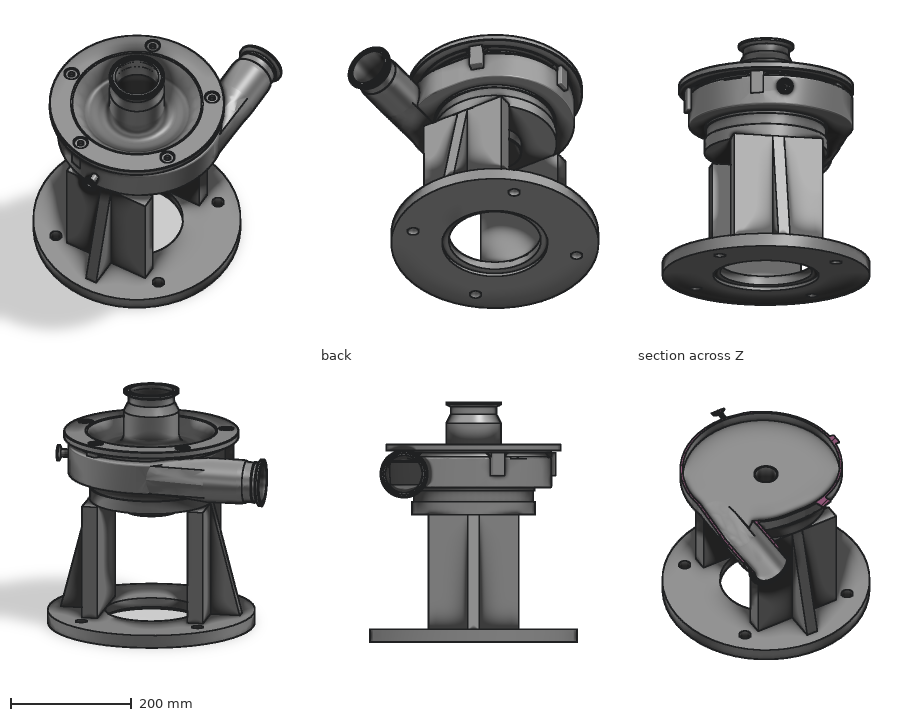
import cadquery as cq
import math

BASE_DIAMETER = 343.0
BASE_R = BASE_DIAMETER / 2
BASE_T = 21.5
BASE_OPENING_R = 76.0
BASE_RECESS_R = 87.2
BASE_RECESS_DEPTH = 6.5
ANCHOR_COUNT = 4
ANCHOR_CIRCLE_R = 138.8
ANCHOR_HOLE_R = 9.5
LEG_WIDTH = 150.0
LEG_INNER_Y = 76.0
MOUNT_R = 102.0
LEG_TOP_Z = 211.0
GUSSET_T = 19.5
GUSSET_TOE_Y = 151.0
MOUNT_TOP_Z = 232.0

STUB_R = 44.0
STUB_BOTTOM_Z = 191.0
STUB_CHAMFER = 1.5
ADAPTER_R = 99
ADAPTER_LIP_R = 101.0
ADAPTER_LIP_Z = 250.5
SHAFT_BORE_R = 18.2
SHAFT_MOUTH_STEP = 1.0

CASING_BOTTOM_Z = 255.5
CASING_TOP_Z = 306.0
CASING_FILLET = 3.0
SPIRAL_START_R = 125.0
SPIRAL_STEP = 8.0
CASING_WALL = 4.8
NECK_BOTTOM_R = 124.5
NECK_TOP_R = 120.5
SEAT_R = 129.0
SEAT_BOTTOM_Z = 313.2

LID_R = 144.7
LID_BOTTOM_Z = 316.0
LID_TOP_Z = 327.0
LID_EDGE_CHAMFER = 1.0
DISH_RIM_OUTER_R = 109.5
DISH_CONE_TOP_R = 106.5
DISH_RIM_DROP = 1.0
DISH_CONE_BOTTOM_R = 87.0
DISH_FLOOR_OUTER_R = 76.5
DISH_FLOOR_Z = 302.0
DISH_INNER_FILLET = 20.0

BOLT_COUNT = 5
BOLT_CIRCLE_R = 125.0
BOLT_RECESS_R = 12.3
BOLT_SEAT_R = 10.7
BOLT_RECESS_DEPTH = 2.0
BOLT_HOLE_R = 5.0
BOLT_HOLE_DEPTH = 6.0
BOLT_TIP_DEPTH = 3.0
LUG_WIDTH = 22.0
LUG_INNER_R = 113.0
LUG_OUTER_R = 136.0
LUG_BOTTOM_Z = 274.8
LUG_FILLET = 2.5
LUG_FLARE_WIDTH = 35.5

INLET_TOP_Z = 396.5
INLET_PIPE_R = 45.5
INLET_NECK_R = 38.0
INLET_BORE_R = 36.0
INLET_LOWER_BORE_R = 41.5
INLET_STEP_Z = 357.5
INLET_CONE_BOTTOM_Z = 361.5
INLET_CONE_TOP_Z = 376.5

OUTLET_X = 115
OUTLET_Z = 278.0
TOTAL_LENGTH_Y = 382.5
OUTLET_END_Y = TOTAL_LENGTH_Y - BASE_R
OUTLET_FLANGE_R = 39.3
OUTLET_NECK_R = 33.5
OUTLET_PIPE_R = 36.5
OUTLET_BORE_R = 31.0
OUTLET_BEAD_R = 34.0
OUTLET_BEAD_Y = 198.0
OUTLET_BEAD_WIDTH = 2.0
OUTLET_SWELL_START_Y = 192.7
OUTLET_SWELL_END_Y = 173.5
OUTLET_STEP_Y = 182.8
OUTLET_STEP_INNER_R = 34.5
OUTLET_STEP_OUTER_R = 35.3
OUTLET_SWELL_TANGENT = (-1, 2)
OUTLET_NECK_TANGENT = (0, 1)
OUTLET_PIPE_START_Y = 117.8
THROAT_INNER_X = 86.5
THROAT_OUTER_X = 142.0
THROAT_EDGE_INSET = 1.5

DRAIN_Z = 281.0
DRAIN_PIPE_R = 6.7
DRAIN_FLANGE_R = 13.0
DRAIN_BORE_R = 5.0
DRAIN_END_Y = -158.0
DRAIN_RIM_T = 2.8
DRAIN_TAPER_T = 3.0
DRAIN_GROOVE_OUTER_R = 10.7
DRAIN_GROOVE_INNER_R = 8.5

FLANGE_RIM_T = 3.5
FLANGE_TAPER_T = 4.0
FLANGE_GROOVE_INSET = 2.5
FLANGE_GROOVE_WIDTH = 2.8
FLANGE_GROOVE_DEPTH = 1.0

CHAMBER_BOTTOM_Z = CASING_BOTTOM_Z + CASING_WALL
CHAMBER_TOP_Z = DISH_FLOOR_Z - CASING_WALL


def cylinder(radius, bottom, top):
    return cq.Workplane("XY").workplane(offset=bottom).circle(radius).extrude(top - bottom)


def revolve_z(profile):
    """Revolve a closed (radius, z) outline about the Z axis."""
    return profile.close().revolve(360, (0, 0, 0), (0, 1, 0))


def make_stand():
    stand = cylinder(BASE_R, 0, BASE_T).cut(cylinder(BASE_OPENING_R, 0, BASE_T))
    stand = stand.cut(cylinder(BASE_RECESS_R, 0, BASE_RECESS_DEPTH))
    anchors = (
        cq.Workplane("XY")
        .polarArray(ANCHOR_CIRCLE_R, 180 / ANCHOR_COUNT, 360, ANCHOR_COUNT)
        .circle(ANCHOR_HOLE_R)
        .extrude(BASE_T)
    )
    stand = stand.cut(anchors).union(cylinder(MOUNT_R, LEG_TOP_Z, MOUNT_TOP_Z))
    leg_thickness = MOUNT_R - LEG_INNER_Y
    for side in (1, -1):
        leg = (
            cq.Workplane("XY")
            .workplane(offset=BASE_T)
            .center(0, side * (LEG_INNER_Y + leg_thickness / 2))
            .rect(LEG_WIDTH, leg_thickness)
            .extrude(LEG_TOP_Z - BASE_T)
        )
        gusset = (
            cq.Workplane("YZ")
            .moveTo(side * MOUNT_R, BASE_T)
            .lineTo(side * GUSSET_TOE_Y, BASE_T)
            .lineTo(side * MOUNT_R, LEG_TOP_Z)
            .close()
            .extrude(GUSSET_T / 2, both=True)
        )
        stand = stand.union(leg).union(gusset)
    return stand


def make_shaft_housing():
    stub = cylinder(STUB_R, STUB_BOTTOM_Z, LEG_TOP_Z).faces("<Z").chamfer(STUB_CHAMFER)
    adapter = cylinder(ADAPTER_R, MOUNT_TOP_Z, ADAPTER_LIP_Z)
    lip = cylinder(ADAPTER_LIP_R, ADAPTER_LIP_Z, CASING_BOTTOM_Z)
    return stub.union(adapter).union(lip)


def spiral_prism(inset, bottom, top):
    """Four-centre volute: the wall widens from +Y, through -X and -Y, to +X, then closes tangentially."""
    half = SPIRAL_STEP / 2
    first_r = SPIRAL_START_R - inset
    centres = ((-half, -half), (half, -half), (half, half))
    outline = cq.Workplane("XY").workplane(offset=bottom).moveTo(-half, first_r - half)
    for quarter, (x, y) in enumerate(centres):
        radius = first_r + quarter * SPIRAL_STEP
        start = math.pi / 2 * (1 + quarter)
        middle = start + math.pi / 4
        end = start + math.pi / 2
        outline = outline.threePointArc(
            (x + radius * math.cos(middle), y + radius * math.sin(middle)),
            (x + radius * math.cos(end), y + radius * math.sin(end)),
        )
    closing_r = first_r - SPIRAL_STEP
    closing_x = half + 3 * SPIRAL_STEP
    reach = closing_r * math.sqrt(0.5)
    return (
        outline.threePointArc((closing_x + reach, half + reach), (closing_x, half + closing_r))
        .close()
        .extrude(top - bottom)
    )


def make_casing():
    casing = spiral_prism(0, CASING_BOTTOM_Z, CASING_TOP_Z)
    casing = casing.faces("<Z or >Z").edges().fillet(CASING_FILLET)
    neck = revolve_z(
        cq.Workplane("XZ")
        .moveTo(0, CASING_TOP_Z)
        .lineTo(NECK_BOTTOM_R, CASING_TOP_Z)
        .lineTo(NECK_TOP_R, SEAT_BOTTOM_Z)
        .lineTo(0, SEAT_BOTTOM_Z)
    )
    return casing.union(neck).union(cylinder(SEAT_R, SEAT_BOTTOM_Z, LID_BOTTOM_Z))


def make_lugs():
    """Blocks below the lid bolts, each widening just under the lid seat."""
    length = LUG_OUTER_R - LUG_INNER_R
    lug = (
        cq.Workplane("XY")
        .workplane(offset=LUG_BOTTOM_Z)
        .center((LUG_OUTER_R + LUG_INNER_R) / 2, 0)
        .rect(length, LUG_WIDTH)
        .extrude(SEAT_BOTTOM_Z - LUG_BOTTOM_Z)
        .edges("(>X and |Z) or <Z")
        .fillet(LUG_FILLET)
    )
    flare = (
        cq.Workplane("YZ", origin=(LUG_INNER_R, 0, 0))
        .moveTo(-LUG_WIDTH / 2, CASING_TOP_Z)
        .lineTo(LUG_WIDTH / 2, CASING_TOP_Z)
        .lineTo(LUG_FLARE_WIDTH / 2, SEAT_BOTTOM_Z)
        .lineTo(-LUG_FLARE_WIDTH / 2, SEAT_BOTTOM_Z)
        .close()
        .extrude(SEAT_R - LUG_INNER_R)
    )
    lug = lug.union(flare)
    lugs = cq.Workplane("XY")
    for index in range(BOLT_COUNT):
        lugs = lugs.union(lug.rotate((0, 0, 0), (0, 0, 1), 180 + index * 360 / BOLT_COUNT))
    return lugs


def make_lid():
    """Plain disc with its rim chamfered top and bottom."""
    return cylinder(LID_R, LID_BOTTOM_Z, LID_TOP_Z).edges().chamfer(LID_EDGE_CHAMFER)


def make_dish():
    """Ring-shaped hollow around the inlet: 45-degree cone, flat floor, fillet up to the pipe."""
    fillet_width = DISH_CONE_BOTTOM_R - DISH_FLOOR_OUTER_R
    outer_fillet = fillet_width / math.sin(math.pi / 4)
    half_bend = math.pi / 8
    cone_bottom_z = DISH_FLOOR_Z + outer_fillet * (1 - math.cos(math.pi / 4))
    outer_mid = (
        DISH_FLOOR_OUTER_R + outer_fillet * math.sin(half_bend),
        DISH_FLOOR_Z + outer_fillet * (1 - math.cos(half_bend)),
    )
    inner_sag = DISH_INNER_FILLET * (1 - math.sqrt(0.5))
    return revolve_z(
        cq.Workplane("XZ")
        .moveTo(INLET_PIPE_R, LID_TOP_Z)
        .lineTo(DISH_RIM_OUTER_R, LID_TOP_Z)
        .lineTo(DISH_CONE_TOP_R, LID_TOP_Z - DISH_RIM_DROP)
        .lineTo(DISH_CONE_BOTTOM_R, cone_bottom_z)
        .threePointArc(outer_mid, (DISH_FLOOR_OUTER_R, DISH_FLOOR_Z))
        .lineTo(INLET_PIPE_R + DISH_INNER_FILLET, DISH_FLOOR_Z)
        .threePointArc(
            (INLET_PIPE_R + inner_sag, DISH_FLOOR_Z + inner_sag),
            (INLET_PIPE_R, DISH_FLOOR_Z + DISH_INNER_FILLET),
        )
    )


def make_bolt_recesses():
    """Tapered recesses with a drilled centre, spread over the bolt circle."""
    seat_z = LID_TOP_Z - BOLT_RECESS_DEPTH
    hole_z = seat_z - BOLT_HOLE_DEPTH
    recess = revolve_z(
        cq.Workplane("XZ")
        .moveTo(0, LID_TOP_Z)
        .lineTo(BOLT_RECESS_R, LID_TOP_Z)
        .lineTo(BOLT_SEAT_R, seat_z)
        .lineTo(BOLT_HOLE_R, seat_z)
        .lineTo(BOLT_HOLE_R, hole_z)
        .lineTo(0, hole_z - BOLT_TIP_DEPTH)
    ).translate((-BOLT_CIRCLE_R, 0, 0))
    recesses = cq.Workplane("XY")
    for index in range(BOLT_COUNT):
        recesses = recesses.union(recess.rotate((0, 0, 0), (0, 0, 1), index * 360 / BOLT_COUNT))
    return recesses


def flange_groove(flange_r, end):
    """Gasket groove in the face of a clamp flange that ends at height `end` on the Z axis."""
    outer = flange_r - FLANGE_GROOVE_INSET
    bottom = end - FLANGE_GROOVE_DEPTH
    return cylinder(outer, bottom, end).cut(cylinder(outer - FLANGE_GROOVE_WIDTH, bottom, end))


def make_inlet():
    rim_z = INLET_TOP_Z - FLANGE_RIM_T
    pipe = revolve_z(
        cq.Workplane("XZ")
        .moveTo(0, CHAMBER_TOP_Z)
        .lineTo(INLET_PIPE_R, CHAMBER_TOP_Z)
        .lineTo(INLET_PIPE_R, INLET_CONE_BOTTOM_Z)
        .lineTo(INLET_NECK_R, INLET_CONE_TOP_Z)
        .lineTo(INLET_NECK_R, rim_z - FLANGE_TAPER_T)
        .lineTo(INLET_PIPE_R, rim_z)
        .lineTo(INLET_PIPE_R, INLET_TOP_Z)
        .lineTo(0, INLET_TOP_Z)
    )
    return pipe.cut(flange_groove(INLET_PIPE_R, INLET_TOP_Z))


def place_on_outlet_axis(shape):
    """Turn a shape built along +Z so that it lies along +Y on the outlet axis."""
    return shape.rotate((0, 0, 0), (1, 0, 0), -90).translate((OUTLET_X, 0, OUTLET_Z))


def make_outlet_pipe():
    rim_y = OUTLET_END_Y - FLANGE_RIM_T
    bead_half = OUTLET_BEAD_WIDTH / 2
    swell_start = (OUTLET_NECK_R, OUTLET_SWELL_START_Y)
    swell_tangents = [OUTLET_SWELL_TANGENT, OUTLET_NECK_TANGENT]
    swell_end = (OUTLET_PIPE_R, OUTLET_SWELL_END_Y)
    pipe = revolve_z(
        cq.Workplane("XZ")
        .moveTo(0, OUTLET_PIPE_START_Y)
        .lineTo(OUTLET_PIPE_R, OUTLET_PIPE_START_Y)
        .lineTo(*swell_end)
        .tangentArcPoint((OUTLET_STEP_OUTER_R, OUTLET_STEP_Y), relative=False)
        .lineTo(OUTLET_STEP_INNER_R, OUTLET_STEP_Y)
        .spline([swell_start], tangents=swell_tangents, includeCurrent=True)
        .lineTo(OUTLET_NECK_R, rim_y - FLANGE_TAPER_T)
        .lineTo(OUTLET_FLANGE_R, rim_y)
        .lineTo(OUTLET_FLANGE_R, OUTLET_END_Y)
        .lineTo(0, OUTLET_END_Y)
    )
    bead = cylinder(OUTLET_BEAD_R, OUTLET_BEAD_Y - bead_half, OUTLET_BEAD_Y + bead_half)
    return place_on_outlet_axis(pipe.union(bead).cut(flange_groove(OUTLET_FLANGE_R, OUTLET_END_Y)))


def make_throat(pipe_r, inset):
    """Transition from the rectangular casing section at Y = 0 to the round outlet pipe."""
    width = THROAT_OUTER_X - THROAT_INNER_X - 2 * inset
    height = CASING_TOP_Z - CASING_BOTTOM_Z - 2 * (THROAT_EDGE_INSET + inset)
    shift_x = (THROAT_OUTER_X + THROAT_INNER_X) / 2 - OUTLET_X
    shift_z = (CASING_TOP_Z + CASING_BOTTOM_Z) / 2 - OUTLET_Z
    throat = (
        cq.Workplane("XY")
        .center(shift_x, -shift_z)
        .rect(width, height)
        .workplane(offset=OUTLET_PIPE_START_Y)
        .center(-shift_x, shift_z)
        .circle(pipe_r)
        .loft(ruled=True)
    )
    return place_on_outlet_axis(throat)


def make_drain():
    """Small flanged pipe pointing along -Y, with a gasket groove in its end face."""
    rim_y = DRAIN_END_Y + DRAIN_RIM_T
    neck_y = rim_y + DRAIN_TAPER_T
    drain = (
        cq.Workplane("XY")
        .moveTo(0, -SPIRAL_START_R)
        .lineTo(DRAIN_PIPE_R, -SPIRAL_START_R)
        .lineTo(DRAIN_PIPE_R, neck_y)
        .lineTo(DRAIN_FLANGE_R, rim_y)
        .lineTo(DRAIN_FLANGE_R, DRAIN_END_Y)
        .lineTo(DRAIN_GROOVE_OUTER_R, DRAIN_END_Y)
        .lineTo(DRAIN_GROOVE_OUTER_R, DRAIN_END_Y + FLANGE_GROOVE_DEPTH)
        .lineTo(DRAIN_GROOVE_INNER_R, DRAIN_END_Y + FLANGE_GROOVE_DEPTH)
        .lineTo(DRAIN_GROOVE_INNER_R, DRAIN_END_Y)
        .lineTo(0, DRAIN_END_Y)
        .close()
        .revolve(360, (0, 0, 0), (0, 1, 0))
    )
    return drain.translate((0, 0, DRAIN_Z))


def make_passages():
    """All flow passages and the shaft bore, to be cut from the joined body."""
    chamber = spiral_prism(CASING_WALL, CHAMBER_BOTTOM_Z, CHAMBER_TOP_Z)
    inlet = cylinder(INLET_BORE_R, INLET_STEP_Z, INLET_TOP_Z)
    inlet_lower = cylinder(INLET_LOWER_BORE_R, CHAMBER_TOP_Z, INLET_STEP_Z)
    outlet = place_on_outlet_axis(cylinder(OUTLET_BORE_R, OUTLET_PIPE_START_Y, OUTLET_END_Y))
    throat = make_throat(OUTLET_BORE_R, CASING_WALL)
    drain = (
        cq.Workplane("XZ", origin=(0, DRAIN_END_Y, DRAIN_Z))
        .circle(DRAIN_BORE_R)
        .extrude(DRAIN_END_Y + SPIRAL_START_R)
    )
    shaft = cylinder(SHAFT_BORE_R, STUB_BOTTOM_Z, CHAMBER_BOTTOM_Z)
    mouth_z = CHAMBER_BOTTOM_Z - SHAFT_MOUTH_STEP
    mouth = cylinder(SHAFT_BORE_R + SHAFT_MOUTH_STEP, mouth_z, CHAMBER_BOTTOM_Z)
    passages = chamber
    for passage in (inlet, inlet_lower, outlet, throat, drain, shaft, mouth):
        passages = passages.union(passage)
    return passages


body = make_casing().union(make_throat(OUTLET_PIPE_R, 0)).union(make_outlet_pipe())
body = body.union(make_lugs()).union(make_drain()).union(make_lid()).cut(make_dish())
body = body.cut(make_bolt_recesses()).union(make_inlet()).union(make_shaft_housing())
result = body.union(make_stand()).cut(make_passages())